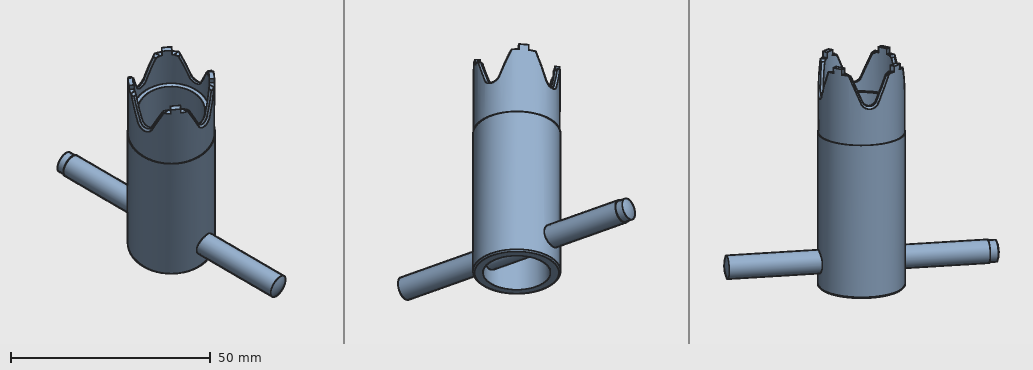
import cadquery as cq
import math

body_radius = 11.0
crown_radius = 10.85
bore_radius = 8.5
socket_radius = 9.6
body_height = 40.4
socket_floor_z = 48.1
shoulder_z = 58.5
total_height = 60.0
base_chamfer = 0.4

notch_bottom_z = 50.4
notch_radius = 1.9
notch_half_angle = math.radians(22.8)
notch_corner_drop = 0.5
notch_corner_run = 0.9
notch_chamfer = 0.55
lug_width = 2.5
lug_angles = (45, 135)

pin_length = 70
pin_radius = 3.0
pin_tip_radius = 2.8
pin_tip_length = 2.65
pin_dome_height = 0.6
pin_z = 6.9


def cylinder(radius, bottom, top):
    return cq.Workplane("XY").workplane(offset=bottom).circle(radius).extrude(top - bottom)


def notch_cutter():
    """Rounded V running through the tube along Y, with its upper corners bevelled."""
    center_z = notch_bottom_z + notch_radius
    tangent_x = notch_radius * math.cos(notch_half_angle)
    tangent_z = center_z - notch_radius * math.sin(notch_half_angle)
    corner_z = shoulder_z - notch_corner_drop
    corner_x = tangent_x + (corner_z - tangent_z) * math.tan(notch_half_angle)
    mouth_x = corner_x + notch_corner_run
    profile = (
        cq.Workplane("XZ")
        .moveTo(-tangent_x, tangent_z)
        .threePointArc((0, notch_bottom_z), (tangent_x, tangent_z))
        .lineTo(corner_x, corner_z)
        .lineTo(mouth_x, shoulder_z)
        .lineTo(-mouth_x, shoulder_z)
        .lineTo(-corner_x, corner_z)
        .close()
    )
    return profile.extrude(body_radius, both=True)


def is_notch_rim(edge):
    """True for the outer edges along the V walls and rounded notch bottoms."""
    center = edge.Center()
    lowest_rim_z = notch_bottom_z - notch_chamfer
    highest_rim_z = shoulder_z - 2 * notch_corner_drop
    on_outside = all(
        math.hypot(edge.positionAt(t).x, edge.positionAt(t).y) > crown_radius - 0.01
        for t in (0, 0.5, 1)
    )
    return on_outside and lowest_rim_z < center.z < highest_rim_z and edge.geomType() != "LINE"


def make_tube():
    body = cylinder(body_radius, 0, body_height).faces("<Z").chamfer(base_chamfer)
    crown = cylinder(crown_radius, body_height, shoulder_z)
    crown = crown.cut(cylinder(socket_radius, body_height, shoulder_z))
    for angle in (0, 90):
        crown = crown.cut(notch_cutter().rotate((0, 0, 0), (0, 0, 1), angle))
    rim = [edge for edge in crown.edges().vals() if is_notch_rim(edge)]
    crown = crown.newObject(rim).chamfer(notch_chamfer)
    seat = cylinder(crown_radius, body_height, socket_floor_z)
    return body.union(seat).union(crown).cut(cylinder(bore_radius, 0, socket_floor_z))


def make_lugs():
    ring = cylinder(crown_radius, shoulder_z, total_height)
    ring = ring.cut(cylinder(socket_radius, shoulder_z, total_height))
    bars = cq.Workplane("XY")
    for angle in lug_angles:
        bar = cq.Workplane("XY").box(2 * body_radius, lug_width, 2 * total_height)
        bars = bars.add(bar.rotate((0, 0, 0), (0, 0, 1), angle))
    return ring.intersect(bars.combine())


def dome_midpoint(rim_radius):
    """Axial inset and radius of a point halfway along the dome's arc."""
    sphere_radius = (rim_radius**2 + pin_dome_height**2) / (2 * pin_dome_height)
    half_angle = math.asin(rim_radius / sphere_radius) / 2
    return sphere_radius * (1 - math.cos(half_angle)), sphere_radius * math.sin(half_angle)


def make_pin():
    end_x = pin_length / 2
    dome_x = end_x - pin_dome_height
    left_inset, left_radius = dome_midpoint(pin_tip_radius)
    right_inset, right_radius = dome_midpoint(pin_radius)
    profile = (
        cq.Workplane("XY")
        .moveTo(-end_x, 0)
        .threePointArc((-end_x + left_inset, left_radius), (-dome_x, pin_tip_radius))
        .lineTo(-end_x + pin_tip_length, pin_tip_radius)
        .lineTo(-end_x + pin_tip_length, pin_radius)
        .lineTo(dome_x, pin_radius)
        .threePointArc((end_x - right_inset, right_radius), (end_x, 0))
        .close()
    )
    return profile.revolve(360, (0, 0, 0), (1, 0, 0)).translate((0, 0, pin_z))


result = make_tube().union(make_lugs()).union(make_pin())